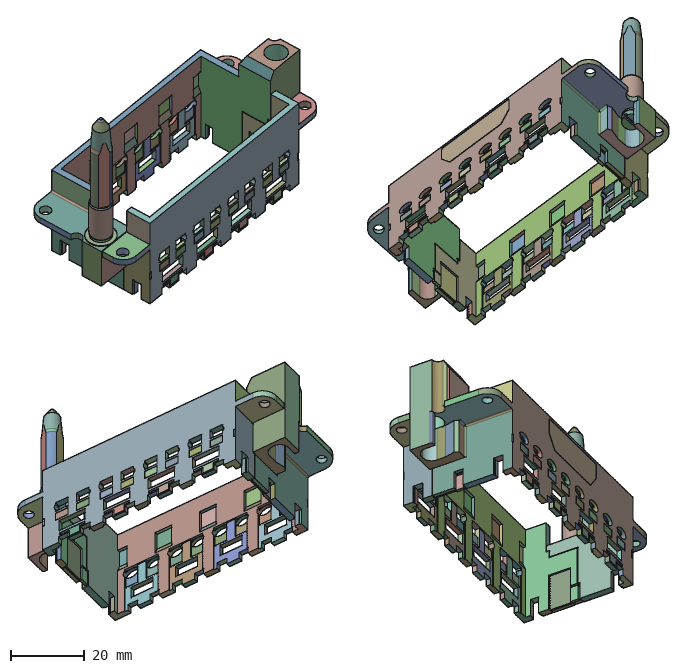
import cadquery as cq
import math

frame_width = 34.4
frame_length = 63.5
frame_height = 29.05
side_wall = 1.75
end_wall = 2.05
half_width = frame_width / 2
half_length = frame_length / 2
inner_half_width = half_width - side_wall
inner_half_length = half_length - end_wall

overall_length = 84.5
flange_half_length = 42.05
flange_thickness = 2.0
flange_top = 21.4
flange_bottom = flange_top - flange_thickness
flange_corner_radius = 4.5
screw_hole_x = 13.5
screw_hole_y = 38.8
screw_hole_diameter = 2.9
screw_hole_mouth = 3.4
notch_radius = 1.95
root_fillet = 0.5

block_left = -2.2
block_right = 8.87
block_bottom = 8.9
block_end = overall_length / 2
guide_x = 4.65
guide_y = 37.3
block_inner_end = 34.8
block_lip_x = -0.9
block_lip_y = 35.3
cavity_half_width = 3.05
cavity_corner = 2.8
cavity_right = 7.7
cavity_y = 37.65
outer_wall_left = 1.85
outer_wall_fillet = 0.6

tower_top = 36.5
tower_step_y = 40.35
tower_bevel_in = 1.6
tower_bevel_down = 2.85
bushing_radius = 3.3
tower_corner_chamfer = 0.45

joint_gap = 0.2
upper_joint_x = block_right
outer_joint_x = 7.95
inner_joint_x = -1.0
lap_top = 17.3
lap_half_length = (half_length + inner_half_length) / 2
tongue_window_left = 1.4
tongue_window_right = 8.2
tongue_window_top = 11.3
tongue_window_depth = 0.5
opening_left = -2.4

end_slot_x = 12.65
end_slot_width = 2.45
end_slot_mouth = 3.0
end_slot_mouth_depth = 0.6
end_slot_height = 5.3
middle_slot_left = -1.6
middle_slot_right = 1.2
tab_height = 4.8
tab_left = -1.1

module_pitch = 14.66
module_centers = [(i - 1.5) * module_pitch for i in range(4)]
hole_pitch = module_pitch / 2
hole_centers = [(i - 3.5) * hole_pitch for i in range(8)]
hole_half_width = 2.23
hole_half_height = 1.55
hole_z = 13.5
window_bottom = 4.2
window_top = 7.9
window_width = {-1: 7.25, 1: 8.6}
mark_depth = 0.1
mark_offset = 3.45
mark_width = 4.05
mark_bottom = 8.7
mark_top = 11.2
corner_mark_width = 0.6
module_recess_width = 11.0
module_recess_depth = 0.35
module_recess_top = hole_z + hole_half_height
relief_depth = 0.7
socket_depth = {-1: relief_depth, 1: side_wall}
socket_bottom = hole_z - hole_half_height
tee_bar_width = 8.2
tee_bar_bottom = 2.6
tee_bar_top = 3.3
tee_stem_width = 3.3
tee_stem_bottom = 0.55
foot_shift = 0.7
foot_width = 4.1
foot_span = 10.4
foot_notch_height = 2.05
ramp_centers = [(i - 2) * module_pitch for i in range(5)]
ramp_width = 5.5
ramp_depth = 0.9
ramp_top = 23.4
ramp_start = 18.0
ramp_end = 15.9

label_top = 28.25
label_knee = 23.5
label_bottom = 19.4
label_half_top = 12.4
label_half_bottom = 9.4
label_corner_radius = 0.5

washer_radius = 4.4
washer_thickness = 0.3
pin_base = flange_top + washer_thickness
pin_tip = 63.6
collar_radius = 3.3
collar_foot_radius = 3.15
collar_foot_top = 22.6
collar_top = 33.4
shaft_radius = 3.1
shaft_start = 33.9
shaft_top = 53.0
neck_start = 54.3
neck_radius = 2.84
nose_radius = 2.36
nose_start = 60.6
tip_radius = 0.9
tip_start = 63.0
tip_flat_radius = 0.45
flat_distance = 2.62
flat_angles = (90, 210, 330)
thread_radius = 1.5
thread_end = 30.0
screw_neck_radius = 2.55
screw_head_radius = 2.65
screw_head_top = 18.6
screw_head_bottom = 16.5
screw_slot_width = 0.8
screw_slot_depth = 0.9


def box(x, y, z):
    """Box between the given (low, high) limits along X, Y and Z."""
    return cq.Workplane("XY").box(
        x[1] - x[0], y[1] - y[0], z[1] - z[0], centered=False
    ).translate((x[0], y[0], z[0]))


def around(center, width):
    """Limits of a stretch of the given width about a centre."""
    return (center - width / 2, center + width / 2)


def cove(plane, corner, first, second, length):
    """Fillet strip filling the inside corner between two legs, extruded along the normal."""
    along = (corner[0] + first, corner[1])
    up = (corner[0], corner[1] + second)
    bulge = 1 - math.sqrt(0.5)
    middle = (corner[0] + first * bulge, corner[1] + second * bulge)
    return (
        plane.moveTo(*corner).lineTo(*along).threePointArc(middle, up).close().extrude(length)
    )


def disc(radius, x, y, bottom, top):
    """Upright cylinder."""
    return cq.Workplane("XY", origin=(x, y, bottom)).circle(radius).extrude(top - bottom)


def at_end(solid, end):
    """A feature modelled at the +Y end, moved to the end given by its sign."""
    return solid if end > 0 else solid.mirror("XZ")


def on_side(solid, side):
    """A feature modelled on the +X wall, moved to the wall given by its sign."""
    return solid if side > 0 else solid.mirror("YZ")


def wall_ring():
    outer = box((-half_width, half_width), (-half_length, half_length), (0, frame_height))
    inner = box(
        (-inner_half_width, inner_half_width),
        (-inner_half_length, inner_half_length),
        (0, frame_height),
    )
    return outer.cut(inner)


def flange_plate():
    plate = (
        cq.Workplane("XY", origin=(0, 0, flange_bottom))
        .rect(frame_width, 2 * flange_half_length)
        .extrude(flange_thickness)
        .edges("|Z")
        .fillet(flange_corner_radius)
    )
    middle = box(
        (-half_width, half_width), (-inner_half_length, inner_half_length), (0, frame_height)
    )
    hole = cq.Workplane("XZ").polyline([
        (0, flange_bottom),
        (screw_hole_diameter / 2, flange_bottom),
        (screw_hole_mouth / 2, flange_top),
        (0, flange_top),
    ]).close().revolve(360, (0, 0, 0), (0, 1, 0))
    plate = plate.cut(middle)
    for x in (-screw_hole_x, screw_hole_x):
        for y in (-screw_hole_y, screw_hole_y):
            plate = plate.cut(hole.translate((x, y, 0)))
    return plate


def side_wall_cuts(side):
    """Everything removed from one side wall, modelled on the +X wall."""
    skin = (half_width - mark_depth, half_width)
    cuts = []

    def inside(depth, y, z):
        cuts.append(box((inner_half_width, inner_half_width + depth), y, z))

    for y in hole_centers:
        cuts.append(
            cq.Workplane("YZ", origin=(inner_half_width, y, hole_z))
            .ellipse(hole_half_width, hole_half_height)
            .extrude(side_wall)
        )
    for y in module_centers:
        foot_y = y + foot_shift
        inside(module_recess_depth, around(y, module_recess_width), (0, module_recess_top))
        inside(side_wall, around(y, window_width[side]), (window_bottom, window_top))
        for mark_y in (y - mark_offset, y + mark_offset):
            mark_limits = around(mark_y, mark_width)
            inside(relief_depth, mark_limits, (mark_bottom, module_recess_top))
            inside(socket_depth[side], mark_limits, (socket_bottom, module_recess_top))
            cuts.append(box(skin, mark_limits, (mark_bottom, mark_top)))
        cuts.append(box(skin, around(y, tee_bar_width), (tee_bar_bottom, tee_bar_top)))
        cuts.append(box(skin, around(foot_y, tee_stem_width), (tee_stem_bottom, tee_bar_bottom)))
        for low, high in ((-foot_span / 2, -foot_width / 2), (foot_width / 2, foot_span / 2)):
            inside(side_wall, (foot_y + low, foot_y + high), (0, foot_notch_height))
    for end in (-1, 1):
        corner_mark = box(
            skin, (half_length - corner_mark_width, half_length), (mark_bottom, mark_top)
        )
        cuts.append(at_end(corner_mark, end))
    return cuts


def ramp_recess(y):
    """Recess in the inner face of the +X wall whose floor ramps back to the face."""
    deep = inner_half_width + ramp_depth
    recess = (
        cq.Workplane("XZ", origin=(0, y + ramp_width / 2, 0))
        .polyline([
            (inner_half_width, ramp_top),
            (deep, ramp_top),
            (deep, ramp_start),
            (inner_half_width, ramp_end),
        ])
        .close()
        .extrude(ramp_width)
    )
    interior = box(
        (-half_width, half_width), (-inner_half_length, inner_half_length), (0, frame_height)
    )
    return recess.intersect(interior)


def label_field():
    corner = label_corner_radius
    return (
        cq.Workplane("YZ", origin=(-half_width, 0, 0))
        .moveTo(-label_half_bottom, label_bottom)
        .lineTo(label_half_bottom, label_bottom)
        .lineTo(label_half_top, label_knee)
        .lineTo(label_half_top, label_top - corner)
        .radiusArc((label_half_top - corner, label_top), -corner)
        .lineTo(-label_half_top + corner, label_top)
        .radiusArc((-label_half_top, label_top - corner), -corner)
        .lineTo(-label_half_top, label_knee)
        .close()
        .extrude(mark_depth)
    )


def end_wall_slots():
    depth = (-half_length, half_length)
    height = (0, end_slot_height)
    slots = box((middle_slot_left, middle_slot_right), depth, height)
    for x in (-end_slot_x, end_slot_x):
        slots = slots.union(box(around(x, end_slot_width), depth, height))
        for end in (-1, 1):
            mouth = box(
                around(x, end_slot_mouth), (half_length - end_slot_mouth_depth, half_length), height
            )
            slots = slots.union(at_end(mouth, end))
    return slots


def whole_frame():
    frame = wall_ring().union(flange_plate())
    for side in (-1, 1):
        for cut in side_wall_cuts(side):
            frame = frame.cut(on_side(cut, side))
        for y in ramp_centers:
            frame = frame.cut(on_side(ramp_recess(y), side))
    return frame.cut(label_field()).cut(end_wall_slots())


def left_territory(margin):
    """Space of the -X half, grown by a margin at the lap joints."""
    def stretch(right, y, z):
        return box((-half_width, right + margin), y, z)

    outer_y = lap_half_length - margin
    territory = stretch(upper_joint_x, (-block_end, block_end), (flange_bottom, tower_top))
    territory = territory.union(
        stretch(outer_joint_x, (-block_end, block_end), (lap_top - margin, flange_bottom))
    )
    for end in (-1, 1):
        outer = stretch(outer_joint_x, (outer_y, block_end), (0, lap_top))
        inner = stretch(inner_joint_x, (0, outer_y), (0, lap_top))
        territory = territory.union(at_end(outer, end)).union(at_end(inner, end))
    return territory


def block_body():
    """Hollow block hanging below the +Y flange, open towards -X."""
    depth = flange_bottom - block_bottom
    blank = (
        cq.Workplane("XY", origin=(0, 0, block_bottom))
        .polyline([
            (block_left, half_length),
            (block_right, half_length),
            (block_right, cavity_y),
            (block_lip_x, cavity_y),
            (block_lip_x, block_lip_y),
            (block_left, block_inner_end),
        ])
        .close()
        .extrude(depth)
    )
    outer_wall = box(
        (outer_wall_left, block_right), (cavity_y, block_end), (block_bottom, flange_top)
    ).edges("|Z and <X and >Y").fillet(outer_wall_fillet)
    cavity_inner = cavity_y - cavity_half_width
    cavity_outer = cavity_y + cavity_half_width
    cavity = (
        cq.Workplane("XY", origin=(0, 0, block_bottom))
        .polyline([
            (cavity_right, cavity_inner),
            (cavity_right, cavity_outer),
            (2 * block_left, cavity_outer),
            (2 * block_left, block_lip_y),
            (block_lip_x, block_lip_y),
            (-block_left, cavity_inner),
        ])
        .close()
        .extrude(depth)
        .edges("|Z and >X")
        .fillet(cavity_corner)
    )
    return blank.union(outer_wall).cut(cavity)


def tower():
    """Bushing tower on the +Y flange, bevelled along its -X and inner top edges."""
    body = box(
        (block_left, block_right), (inner_half_length, tower_step_y), (flange_bottom, tower_top)
    )
    body = body.edges("|Z and <X and >Y").chamfer(tower_corner_chamfer)
    left_bevel = cq.Workplane("XZ", origin=(0, block_end, 0)).polyline([
        (block_left, tower_top - tower_bevel_down),
        (block_left + tower_bevel_in, tower_top),
        (block_left, tower_top),
    ]).close().extrude(block_end)
    inner_bevel = cq.Workplane("YZ", origin=(block_left, 0, 0)).polyline([
        (inner_half_length, tower_top - tower_bevel_down),
        (inner_half_length + tower_bevel_in, tower_top),
        (inner_half_length, tower_top),
    ]).close().extrude(frame_width)
    outer_part = box((0, block_right), (cavity_y, block_end), (flange_bottom, tower_top))
    return body.cut(left_bevel).union(outer_part).cut(inner_bevel)


def wall_roots(end):
    """Fillets where the -X stretch of an end wall meets the flange, above and below."""
    length = block_left + half_width
    plane = cq.Workplane("YZ", origin=(-half_width, 0, 0))
    upper = cove(plane, (half_length, flange_top), root_fillet, root_fillet, length)
    lower = cove(plane, (half_length, flange_bottom), root_fillet, -root_fillet, length)
    return at_end(upper.union(lower), end)


def block_roots(end, top):
    """Fillets that join a block's -X face to the end wall and to the flange underside."""
    upright = cove(
        cq.Workplane("XY", origin=(0, 0, block_bottom)),
        (block_left, half_length), -root_fillet, root_fillet, top - block_bottom,
    )
    below = cove(
        cq.Workplane("XZ", origin=(0, block_inner_end, 0)),
        (block_left, flange_bottom), -root_fillet, -root_fillet, block_inner_end - half_length,
    )
    return at_end(upright.union(below), end)


def tower_root():
    """Fillet between the tower's -X face and the flange."""
    end = tower_step_y - tower_corner_chamfer
    return cove(
        cq.Workplane("XZ", origin=(0, end, 0)),
        (block_left, flange_top), -root_fillet, root_fillet, end - half_length,
    )


def end_notch(end):
    """Half-round notch in the flange end, running on up the tower."""
    return disc(notch_radius, 0, end * block_end, flange_bottom, tower_top)


def left_half(frame):
    half = frame.intersect(left_territory(0))
    half = half.cut(box(
        (opening_left, block_right), (-half_length, -inner_half_length), (flange_top, frame_height)
    ))
    half = half.union(tower()).union(tower_root())
    for end, fillet_top in ((-1, flange_bottom), (1, frame_height)):
        half = half.union(at_end(block_body(), end))
        half = half.union(wall_roots(end)).union(block_roots(end, fillet_top))
        half = half.cut(end_notch(end))
    bushing_bore = disc(bushing_radius, guide_x, guide_y, flange_bottom, tower_top)
    screw_bore = disc(screw_neck_radius, guide_x, -guide_y, flange_bottom, flange_top)
    return half.cut(bushing_bore).cut(screw_bore)


def right_half(frame):
    half = frame.cut(left_territory(joint_gap))
    tongue_y = (inner_half_length, lap_half_length - joint_gap)
    window = box(
        (tongue_window_left, tongue_window_right),
        (inner_half_length, inner_half_length + tongue_window_depth),
        (0, tongue_window_top),
    )
    tab = box((tab_left, tongue_window_left), tongue_y, (0, tab_height))
    for end in (-1, 1):
        half = half.cut(at_end(window, end)).union(at_end(tab, end))
    return half


def guide_pin():
    pin = cq.Workplane("XZ").polyline([
        (0, pin_base),
        (collar_foot_radius, pin_base),
        (collar_foot_radius, collar_foot_top),
        (collar_radius, collar_foot_top),
        (collar_radius, collar_top),
        (shaft_radius, shaft_start),
        (shaft_radius, shaft_top),
        (neck_radius, neck_start),
        (nose_radius, nose_start),
        (tip_radius, tip_start),
        (tip_flat_radius, pin_tip),
        (0, pin_tip),
    ]).close().revolve(360, (0, 0, 0), (0, 1, 0))
    for angle in flat_angles:
        beyond_flat = box(
            (flat_distance, 2 * shaft_radius), (-shaft_radius, shaft_radius), (shaft_start, pin_tip)
        ).rotate((0, 0, 0), (0, 0, 1), angle)
        pin = pin.cut(beyond_flat)
    return pin.translate((guide_x, -guide_y, 0)).cut(thread(pin_base))


def thread(bottom):
    return disc(thread_radius, guide_x, -guide_y, bottom, thread_end)


def washer():
    ring = disc(washer_radius, guide_x, -guide_y, flange_top, pin_base)
    return ring.cut(thread(flange_top))


def pin_screw():
    """Slotted screw that holds the pin from below."""
    head = disc(screw_head_radius, guide_x, -guide_y, screw_head_bottom, screw_head_top)
    neck = disc(screw_neck_radius, guide_x, -guide_y, screw_head_top, flange_top)
    slot_x = (guide_x - screw_head_radius, guide_x + screw_head_radius)
    slot_y = (-guide_y - screw_slot_width / 2, -guide_y + screw_slot_width / 2)
    slot = box(slot_x, slot_y, (screw_head_bottom, screw_head_bottom + screw_slot_depth))
    return head.union(neck).union(thread(flange_top)).cut(slot)


frame = whole_frame()
left_frame = left_half(frame)
right_frame = right_half(frame)
pin = guide_pin()
pin_washer = washer()
screw = pin_screw()

result = cq.Compound.makeCompound([
    left_frame.val(),
    right_frame.val(),
    pin.val(),
    pin_washer.val(),
    screw.val(),
])